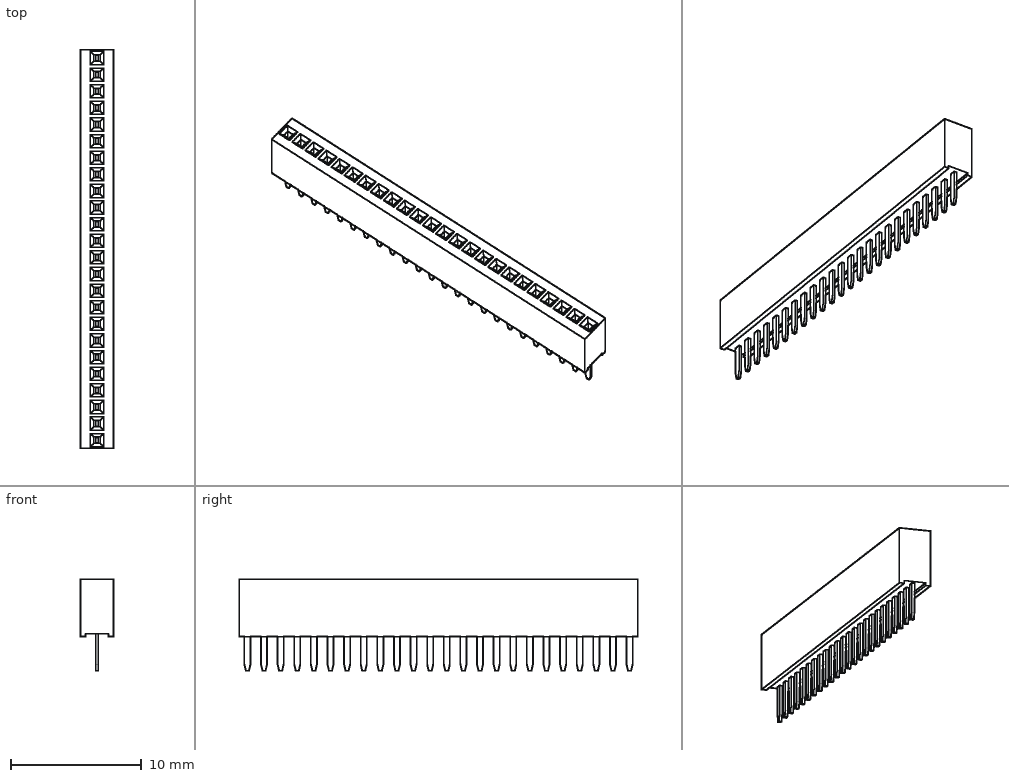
import cadquery as cq

socket_count = 24
body_length = 30.48
body_width = 2.53
total_height = 7.0
body_height = 4.4
pitch = body_length / socket_count

foot_width = 0.4
foot_height = 0.2

funnel_mouth = 1.0
funnel_throat = 0.5
funnel_depth = 0.26
hole_depth = 1.22

post_width = 0.4
post_height = 0.3

pin_thickness = 0.2
pin_width = 0.5
tip_width = 0.25
tip_length = 0.52

body_top = total_height
body_bottom = body_top - body_height
channel_roof = body_bottom + foot_height
pin_top = body_top - hole_depth + post_height

row_positions = [(0, (i - (socket_count - 1) / 2) * pitch) for i in range(socket_count)]


def make_housing():
    block = cq.Workplane("XY").workplane(offset=body_bottom).rect(body_width, body_length).extrude(body_height)
    channel_width = body_width - 2 * foot_width
    channel = cq.Workplane("XY").workplane(offset=body_bottom).rect(channel_width, body_length).extrude(foot_height)
    return block.cut(channel)


def make_socket():
    funnel = (
        cq.Workplane("XY")
        .workplane(offset=body_top)
        .rect(funnel_mouth, funnel_mouth)
        .workplane(offset=-funnel_depth)
        .rect(funnel_throat, funnel_throat)
        .loft(ruled=True)
    )
    hole = (
        cq.Workplane("XY")
        .workplane(offset=body_top - funnel_depth)
        .rect(funnel_throat, funnel_throat)
        .extrude(funnel_depth - hole_depth)
    )
    return funnel.union(hole)


def make_pin():
    half_width = pin_width / 2
    half_tip = tip_width / 2
    half_post = post_width / 2
    outline = [
        (-half_width, channel_roof),
        (-half_width, tip_length),
        (-half_tip, 0),
        (half_tip, 0),
        (half_width, tip_length),
        (half_width, channel_roof),
        (half_post, channel_roof),
        (half_post, pin_top),
        (-half_post, pin_top),
        (-half_post, channel_roof),
    ]
    return cq.Workplane("YZ").polyline(outline).close().extrude(pin_thickness / 2, both=True)


def repeat_along_row(shape):
    solid = shape.val()
    return cq.Workplane("XY").pushPoints(row_positions).eachpoint(lambda place: solid.moved(place))


sockets = repeat_along_row(make_socket())
pins = repeat_along_row(make_pin())
result = make_housing().cut(sockets).union(pins)